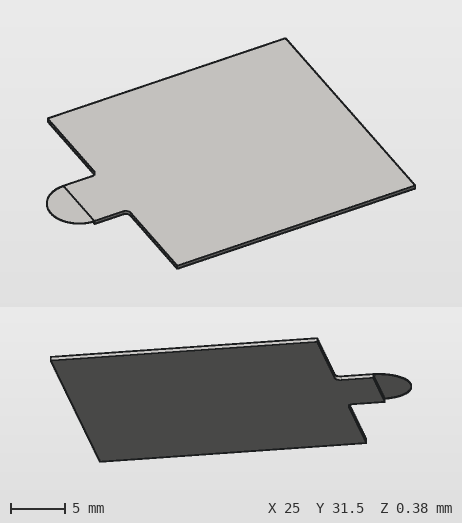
import cadquery as cq

plate_side = 25.0
overall_length = 31.5
thickness = 0.38
tab_width = 6.0
root_fillet = 0.5
tip_thickness = 0.05

half_side = plate_side / 2
tip_radius = tab_width / 2
tip_start = half_side - overall_length + tip_radius


def flat_outline():
    """Square plate and round-ended tab, all at full thickness."""
    plate = cq.Workplane("XY").rect(plate_side, plate_side).extrude(thickness)
    tab = (
        cq.Workplane("XY")
        .moveTo(-tip_radius, 0)
        .lineTo(-tip_radius, tip_start)
        .threePointArc((0, tip_start - tip_radius), (tip_radius, tip_start))
        .lineTo(tip_radius, 0)
        .close()
        .extrude(thickness)
    )
    return plate.union(tab).clean()


def round_tab_roots(body):
    """Fillet the two inner corners where the tab leaves the plate."""
    root_corners = cq.selectors.BoxSelector(
        (-tab_width, -half_side - root_fillet, 0),
        (tab_width, -half_side + root_fillet, thickness),
    )
    return body.edges("|Z").edges(root_corners).fillet(root_fillet)


def thin_tip(body):
    """Cut away the underside of the half-round tip, leaving a thin flush film."""
    relief = (
        cq.Workplane("XY")
        .center(0, tip_start - tip_radius)
        .rect(2 * tab_width, tab_width)
        .extrude(thickness - tip_thickness)
    )
    return body.cut(relief)


result = thin_tip(round_tab_roots(flat_outline()))